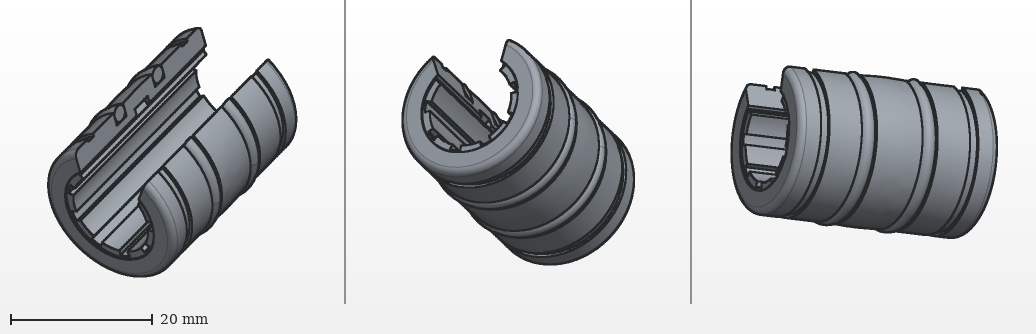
import cadquery as cq
import math


LENGTH = 31.65
HOUSING_RADIUS = 10.9
CROWN_RADIUS = 11.0
END_FILLET = 1.0
CLIP_GROOVE_CENTRE = 11.8
CLIP_GROOVE_WIDTH = 1.33
CLIP_GROOVE_DEPTH = 0.45
CLIP_GROOVE_RADIUS = HOUSING_RADIUS - CLIP_GROOVE_DEPTH

RING_OUTER_DIAMETER = 22.45
RING_TUBE_RADIUS = 1.2
RING_CENTRE = 4.8
RING_PITCH_RADIUS = RING_OUTER_DIAMETER / 2 - RING_TUBE_RADIUS
RING_GROOVE_RADIUS = RING_PITCH_RADIUS - RING_TUBE_RADIUS
RING_GROOVE_WIDTH = 2 * RING_TUBE_RADIUS

LINER_RADIUS = 7.53
LINER_BORE_RADIUS = 6.35
LINER_END_RECESS = 0.32
SLOT_FLOOR_RADIUS = 7.15
SLOT_COUNT = 9
SLOT_PITCH_ANGLE = 360 / SLOT_COUNT
SLOT_ANGLE = SLOT_PITCH_ANGLE / 3
LINER_OPENING_ANGLE = 90.0
RIB_RADIUS = 8.4
RIB_CLEARANCE = 0.2
RIB_WIDTH = 3.23

OPENING_HALF_WIDTH = 4.95
OPENING_FLANK_ANGLE = 16.3

CUTTER_RADIUS = 2 * HOUSING_RADIUS


def band(inner_radius, outer_radius, centre, width):
    """Ring of rectangular section around the Y axis."""
    middle = (inner_radius + outer_radius) / 2
    return (
        cq.Workplane("XY").center(middle, centre).rect(outer_radius - inner_radius, width)
        .revolve(360, (-middle, -centre), (-middle, 0.32 - centre))
    )


def along_length(outline):
    """Solid that runs the full length, from an outline in the XZ plane."""
    return outline.close().extrude(LENGTH / 2, both=True)


def sector(radius, centre_angle, included_angle):
    """Pie slice around the Y axis; angles run from +X towards +Z."""
    def rim_point(angle):
        return radius * math.cos(math.radians(angle)), radius * math.sin(math.radians(angle))

    half_angle = included_angle / 2
    outline = (
        cq.Workplane("XZ").lineTo(*rim_point(centre_angle - half_angle))
        .threePointArc(rim_point(centre_angle), rim_point(centre_angle + half_angle))
    )
    return along_length(outline)


def opening_cutter():
    """Wedge that opens the housing and the rings towards +Z."""
    slope = math.tan(math.radians(OPENING_FLANK_ANGLE))
    bottom_z = math.sqrt(LINER_RADIUS ** 2 - OPENING_HALF_WIDTH ** 2)
    apex_z = bottom_z - OPENING_HALF_WIDTH / slope
    top_half_width = (CUTTER_RADIUS - apex_z) * slope
    axis_half_width = -apex_z * slope
    outline = cq.Workplane("XZ").polyline([
        (-axis_half_width, 0), (axis_half_width, 0),
        (top_half_width, CUTTER_RADIUS), (-top_half_width, CUTTER_RADIUS),
    ])
    return along_length(outline)


def make_housing():
    half_length = LENGTH / 2
    crown_end = RING_CENTRE - RING_GROOVE_WIDTH / 2
    body = (
        cq.Workplane("XY").moveTo(LINER_RADIUS, -half_length)
        .lineTo(HOUSING_RADIUS - END_FILLET, -half_length)
        .radiusArc((HOUSING_RADIUS, END_FILLET - half_length), -END_FILLET)
        .lineTo(HOUSING_RADIUS, -crown_end)
        .threePointArc((CROWN_RADIUS, 0), (HOUSING_RADIUS, crown_end))
        .lineTo(HOUSING_RADIUS, half_length - END_FILLET)
        .radiusArc((HOUSING_RADIUS - END_FILLET, half_length), -END_FILLET)
        .lineTo(LINER_RADIUS, half_length)
        .close().revolve(360, (0, 0), (0, 1))
    )
    for side in (-1, 1):
        body = body.cut(band(CLIP_GROOVE_RADIUS, CUTTER_RADIUS, side * CLIP_GROOVE_CENTRE, CLIP_GROOVE_WIDTH))
        body = body.cut(band(RING_GROOVE_RADIUS, CUTTER_RADIUS, side * RING_CENTRE, RING_GROOVE_WIDTH))
    body = body.cut(band(LINER_BORE_RADIUS, RIB_RADIUS + RIB_CLEARANCE, 0, RIB_WIDTH))
    return body.cut(opening_cutter())


def make_liner():
    sleeve = band(LINER_BORE_RADIUS, LINER_RADIUS, 0, LENGTH - 2 * LINER_END_RECESS)
    rib = band(SLOT_FLOOR_RADIUS, RIB_RADIUS, 0, RIB_WIDTH)
    liner = sleeve.union(rib)
    for index in range(SLOT_COUNT):
        slot_angle = -90 + (index + 0.5) * SLOT_PITCH_ANGLE
        liner = liner.cut(sector(SLOT_FLOOR_RADIUS, slot_angle, SLOT_ANGLE))
    return liner.cut(sector(CUTTER_RADIUS, 90, LINER_OPENING_ANGLE))


def make_ring(centre):
    ring = (
        cq.Workplane("XY").center(RING_PITCH_RADIUS, centre).circle(RING_TUBE_RADIUS)
        .revolve(360, (-RING_PITCH_RADIUS, -centre), (-RING_PITCH_RADIUS, 0.32 - centre))
    )
    return ring.cut(opening_cutter())


housing = make_housing()
liner = make_liner()
rings = [make_ring(side * RING_CENTRE) for side in (-1, 1)]

result = cq.Compound.makeCompound([housing.val(), liner.val(), *[ring.val() for ring in rings]])